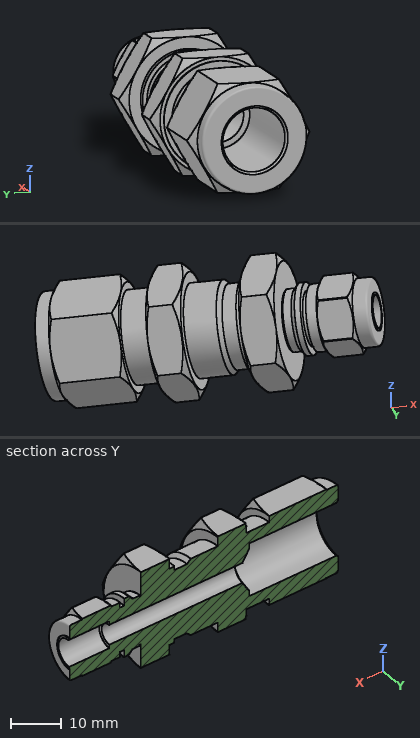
import cadquery as cq
import math


overall_length = 67.0
cap_end = 2.9
large_nut_end = 17.2
washer_face_start = 22.8
lock_nut_start = 23.0
lock_nut_end = 30.0
thread_end = 36.7
relief_start = 37.65
flange_start = 40.75
body_hex_start = 41.95
body_hex_end = 49.1
collar_start = 49.4
collar_end = 51.1
ring_start = 52.1
ring_end = 53.3
sleeve_start = 54.2
small_nut_start = 56.4
small_nut_end = 63.8
small_cap_end = 66.9

cap_diameter = 21.9
thread_diameter = 19.0
relief_diameter = 17.2
neck_diameter = 12.0
collar_diameter = 12.6
ring_diameter = 14.6
groove_diameter = 11.1
sleeve_diameter = 13.6
small_cap_diameter = 13.9
tip_diameter = 7.65
cap_fillet = 0.55
sleeve_lead_diameter = 13.4
sleeve_lead_length = 0.4
washer_face_diameter = 22.25

large_nut_flats = 22.1
body_flats = 23.8
lock_nut_back_face_diameter = 23.45
small_nut_flats = 14.3
small_nut_corner_diameter = 16.35
hex_chamfer_angle = 30.0

through_diameter = 4.8
large_socket_diameter = 12.9
large_socket_rim_diameter = 13.9
large_socket_depth = 22.1
funnel_diameter = 10.4
funnel_angle = 118.0
small_socket_diameter = 6.6
small_socket_depth = 10.05


def revolve_profile(stations):
    """Revolve (x, diameter) stations, closed down to the axis, about X."""
    first_x = stations[0][0]
    last_x = stations[-1][0]
    outline = [(first_x, 0)]
    outline += [(x, diameter / 2) for x, diameter in stations]
    outline += [(last_x, 0)]
    return cq.Workplane("XY").polyline(outline).close().revolve(360, (0, 0, 0), (1, 0, 0))


def hexagon(start, end, flats, start_face, end_face, corner_diameter=None):
    """Hexagon with corners on +Y and -Y, turned conically at both ends."""
    point_diameter = flats / math.cos(math.radians(30))
    turned_diameter = corner_diameter or point_diameter
    slope = math.tan(math.radians(hex_chamfer_angle))
    start_depth = (turned_diameter - start_face) / 2 * slope
    end_depth = (turned_diameter - end_face) / 2 * slope
    prism = cq.Workplane("YZ").workplane(offset=start).polygon(6, point_diameter).extrude(end - start)
    envelope = revolve_profile([
        (start, start_face),
        (start + start_depth, turned_diameter),
        (end - end_depth, turned_diameter),
        (end, end_face),
    ])
    return prism.intersect(envelope)


def cylinder(start, end, diameter):
    return cq.Workplane("YZ").workplane(offset=start).circle(diameter / 2).extrude(end - start)


def large_cap():
    return cylinder(0, cap_end, cap_diameter).faces("<X").edges().fillet(cap_fillet)


def small_cap():
    blank = cylinder(small_nut_start, small_cap_end, small_cap_diameter)
    return blank.faces(">X").edges().fillet(cap_fillet)


def turned_body():
    return revolve_profile([
        (cap_end, thread_diameter),
        (thread_end, thread_diameter),
        (relief_start, relief_diameter),
        (flange_start, relief_diameter),
        (flange_start, thread_diameter),
        (body_hex_start, thread_diameter),
        (body_hex_start, neck_diameter),
        (collar_start, neck_diameter),
        (collar_start, collar_diameter),
        (collar_end, collar_diameter),
        (ring_start, ring_diameter),
        (ring_end, ring_diameter),
        (ring_end, groove_diameter),
        (sleeve_start, groove_diameter),
        (sleeve_start, sleeve_lead_diameter),
        (sleeve_start + sleeve_lead_length, sleeve_diameter),
        (small_nut_start, sleeve_diameter),
        (small_nut_start, tip_diameter),
        (overall_length, tip_diameter),
    ])


def passage():
    rim_depth = (large_socket_rim_diameter - large_socket_diameter) / 2
    funnel_depth = (funnel_diameter - through_diameter) / 2 / math.tan(math.radians(funnel_angle / 2))
    small_socket_floor = overall_length - small_socket_depth
    return revolve_profile([
        (0, large_socket_rim_diameter),
        (rim_depth, large_socket_diameter),
        (large_socket_depth, large_socket_diameter),
        (large_socket_depth, funnel_diameter),
        (large_socket_depth + funnel_depth, through_diameter),
        (small_socket_floor, through_diameter),
        (small_socket_floor, small_socket_diameter),
        (overall_length, small_socket_diameter),
    ])


large_nut = hexagon(cap_end, large_nut_end, large_nut_flats, cap_diameter, large_nut_flats)
lock_nut = hexagon(lock_nut_start, lock_nut_end, body_flats, body_flats, lock_nut_back_face_diameter)
washer_face = cylinder(washer_face_start, lock_nut_start, washer_face_diameter)
body_hex = hexagon(body_hex_start, body_hex_end, body_flats, body_flats, body_flats)
small_nut = hexagon(
    small_nut_start, small_nut_end, small_nut_flats,
    small_cap_diameter, small_cap_diameter, small_nut_corner_diameter,
)

result = turned_body()
for member in (large_cap(), large_nut, washer_face, lock_nut, body_hex, small_nut, small_cap()):
    result = result.union(member)
result = result.cut(passage())